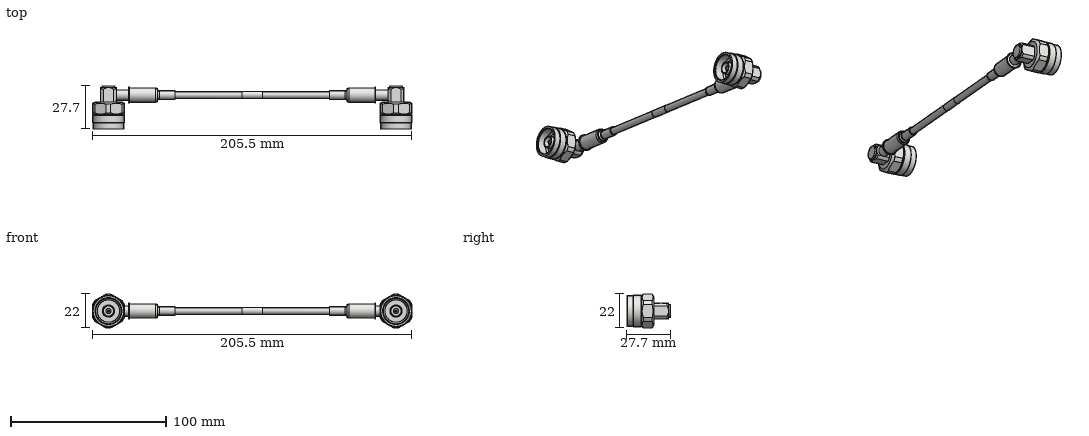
import cadquery as cq
import math

total_length = 205.5
total_depth = 27.7
elbow_back_y = total_depth / 2
plug_mouth_y = -total_depth / 2
cable_y = 8.0

nut_sides = 6
nut_across_flats = 20.3
nut_corner_radius = 22.0 / 2
nut_back_y = 3.5
nut_front_y = -4.5
nut_back_edge_radius = 8.6
nut_back_chamfer_depth = 1.2
nut_front_chamfer_depth = 1.0
band_radius = nut_across_flats / 2
band_back_y = -5.1
band_front_y = -9.7
band_cone_length = 0.5
lip_radius = 9.9
groove_radius = lip_radius
plug_x = total_length / 2 - band_radius

mouth_radius = 8.6
bore_radius = 8.2
socket_floor_radius = 7.2
socket_floor_y = -6.5
contact_outer_radius = 4.0
contact_inner_radius = 3.3
contact_recess = 1.6
pin_radius = 1.6
pin_tip_radius = 0.6
pin_tip_y = -11.5
pin_taper_length = 1.2

elbow_width = 10.3
elbow_corner_radius = 12.1 / 2
elbow_end_y = 12.7
elbow_chamfer = 0.8
cap_radius = 4.3

cable_radius = 2.3
marker_radius = 4.7 / 2
marker_half_length = 6.5

sleeve_radius = 2.9
sleeve_inner_x = 49.7
sleeve_outer_x = 59.8

neck_radius = 6.8 / 2
flange_radius = 10.5 / 2
flange_outer_x = 79.5
flange_thickness = 0.6
ferrule_radius = 9.2 / 2
ferrule_end_x = 61.0
ferrule_chamfer_length = 1.2
ferrule_chamfer_drop = 0.5
nose_base_radius = cable_radius + ferrule_end_x - sleeve_outer_x


def turned_about_plug(profile):
    """Revolve (radius, y) points about the left plug's axis."""
    axis_plane = cq.Workplane("XY", origin=(-plug_x, 0, 0))
    return axis_plane.polyline(profile).close().revolve(360, (0, 0, 0), (0, 1, 0))


def turned_about_cable(profile):
    """Revolve (x, radius) points about the cable axis."""
    axis_plane = cq.Workplane("XY", origin=(0, cable_y, 0))
    return axis_plane.polyline(profile).close().revolve(360, (0, 0, 0), (1, 0, 0))


def prism_along_plug(back_y, front_y):
    """Workplane at back_y facing the mouth, and the length to extrude from it to front_y."""
    plane = cq.Workplane("XZ", origin=(-plug_x, back_y, 0))
    return plane, back_y - front_y


def coupling_nut():
    plane, length = prism_along_plug(nut_back_y, nut_front_y)
    corner_diameter = nut_across_flats / math.cos(math.pi / nut_sides)
    hexagon = (
        plane.transformed(rotate=(0, 0, 180 / nut_sides))
        .polygon(nut_sides, corner_diameter)
        .extrude(length)
    )
    rounding = turned_about_plug([
        (0, nut_back_y),
        (nut_back_edge_radius, nut_back_y),
        (nut_corner_radius, nut_back_y - nut_back_chamfer_depth),
        (nut_corner_radius, nut_front_y + nut_front_chamfer_depth),
        (groove_radius, nut_front_y),
        (0, nut_front_y),
    ])
    shell = turned_about_plug([
        (0, nut_front_y),
        (groove_radius, nut_front_y),
        (groove_radius, band_back_y),
        (band_radius, band_back_y),
        (band_radius, band_front_y),
        (lip_radius, band_front_y - band_cone_length),
        (lip_radius, plug_mouth_y),
        (0, plug_mouth_y),
    ])
    return hexagon.intersect(rounding).union(shell)


def socket_cavity():
    """Hollow of the mouth, leaving the contact tube and the centre pin standing on its floor."""
    mouth_chamfer = mouth_radius - bore_radius
    contact_front_y = plug_mouth_y + contact_recess
    floor_cone = bore_radius - socket_floor_radius
    return turned_about_plug([
        (0, plug_mouth_y),
        (mouth_radius, plug_mouth_y),
        (bore_radius, plug_mouth_y + mouth_chamfer),
        (bore_radius, socket_floor_y - floor_cone),
        (socket_floor_radius, socket_floor_y),
        (contact_outer_radius, socket_floor_y),
        (contact_outer_radius, contact_front_y),
        (contact_inner_radius, contact_front_y),
        (contact_inner_radius, socket_floor_y),
        (pin_radius, socket_floor_y),
        (pin_radius, pin_tip_y + pin_taper_length),
        (pin_tip_radius, pin_tip_y),
        (0, pin_tip_y),
    ])


def elbow():
    plane, length = prism_along_plug(elbow_end_y, nut_back_y)
    block = plane.rect(elbow_width, elbow_width).extrude(length)
    rounding = turned_about_plug([
        (0, nut_back_y),
        (elbow_corner_radius, nut_back_y),
        (elbow_corner_radius, elbow_end_y - elbow_chamfer),
        (elbow_corner_radius - elbow_chamfer, elbow_end_y),
        (0, elbow_end_y),
    ])
    cap_plane, cap_length = prism_along_plug(elbow_back_y, elbow_end_y)
    cap = cap_plane.circle(cap_radius).extrude(cap_length)
    return block.intersect(rounding).union(cap)


def ferrule():
    """Neck, flange, crimp barrel and nose cone on the left end of the cable."""
    flange_inner_x = flange_outer_x - flange_thickness
    return turned_about_cable([
        (-plug_x, 0),
        (-plug_x, neck_radius),
        (-flange_outer_x, neck_radius),
        (-flange_outer_x, flange_radius),
        (-flange_inner_x, flange_radius),
        (-flange_inner_x, ferrule_radius),
        (-ferrule_end_x - ferrule_chamfer_length, ferrule_radius),
        (-ferrule_end_x, ferrule_radius - ferrule_chamfer_drop),
        (-ferrule_end_x, nose_base_radius),
        (-sleeve_outer_x, cable_radius),
        (-sleeve_outer_x, 0),
    ])


def connector():
    """Left right-angle plug; the right one is its mirror image."""
    return coupling_nut().cut(socket_cavity()).union(elbow()).union(ferrule())


def sleeve():
    """Left tube on the cable, between the ferrule's nose and the bare cable."""
    return turned_about_cable([
        (-sleeve_outer_x, cable_radius),
        (-sleeve_outer_x, sleeve_radius),
        (-sleeve_inner_x, sleeve_radius),
        (-sleeve_inner_x, cable_radius),
    ])


def cable():
    """Cable from nose to nose, with a slightly thicker marker band in the middle."""
    return turned_about_cable([
        (-sleeve_outer_x, 0),
        (-sleeve_outer_x, cable_radius),
        (-marker_half_length, cable_radius),
        (-marker_half_length, marker_radius),
        (marker_half_length, marker_radius),
        (marker_half_length, cable_radius),
        (sleeve_outer_x, cable_radius),
        (sleeve_outer_x, 0),
    ])


bodies = [cable().val()]
for left_body in (connector(), sleeve()):
    bodies.append(left_body.val())
    bodies.append(left_body.mirror("YZ").val())

result = cq.Compound.makeCompound(bodies)